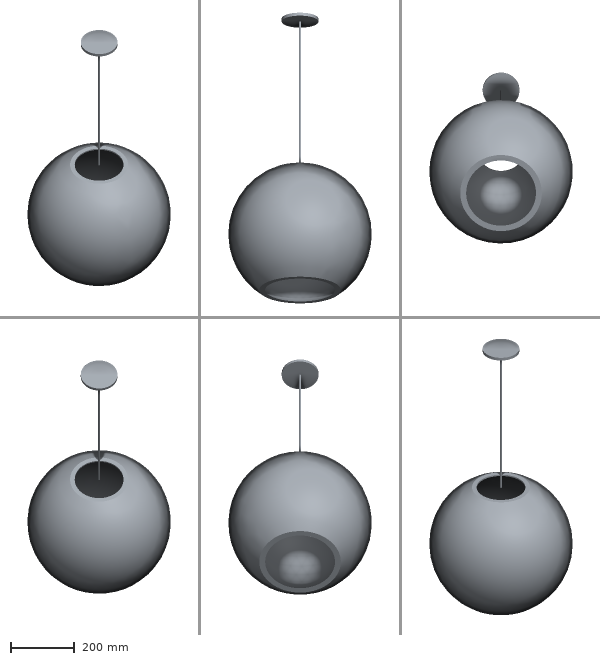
import cadquery as cq
import math

total_height = 900.0

globe_radius = 225.0
wall_thickness = 10.0
top_rim_radius = 91.0
top_hole_radius = 76.5
bottom_rim_radius = 128.0

plate_radius = 58.0
plate_thickness = 10.0
rod_radius = 3.0

globe_center_z = math.sqrt(globe_radius**2 - bottom_rim_radius**2)
shade_height = globe_center_z + math.sqrt(globe_radius**2 - top_rim_radius**2)
plate_bottom_z = total_height - plate_thickness


def cylinder(radius, bottom_z, top_z):
    """Solid cylinder on the Z axis between two heights."""
    return cq.Workplane("XY").workplane(offset=bottom_z).circle(radius).extrude(top_z - bottom_z)


def sphere(radius):
    """Solid sphere about the centre of the globe."""
    return cq.Workplane("XY").sphere(radius).translate((0, 0, globe_center_z))


def make_shade():
    """Hollow globe with flat rims, a wide open bottom and a round hole in the top."""
    flat_ended_globe = sphere(globe_radius).intersect(cylinder(globe_radius, 0, shade_height))
    cavity = sphere(globe_radius - wall_thickness)
    top_hole = cylinder(top_hole_radius, globe_center_z, shade_height)
    return flat_ended_globe.cut(cavity).cut(top_hole)


def make_rod():
    """Thin rod hanging from the plate down to the level of the shade's top rim."""
    return cylinder(rod_radius, shade_height, plate_bottom_z)


def make_plate():
    """Round ceiling plate."""
    return cylinder(plate_radius, plate_bottom_z, total_height)


shade = make_shade()
rod = make_rod()
plate = make_plate()

result = cq.Compound.makeCompound([shade.val(), rod.val(), plate.val()])